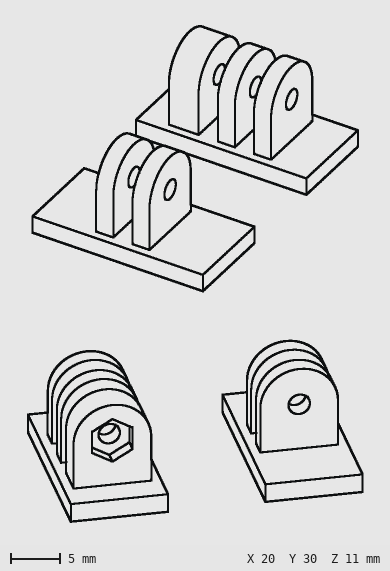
import cadquery as cq

overall_width = 30.0
base_width = overall_width / 3
base_length = 2 * base_width
base_thickness = base_width / 5
lug_thickness = base_thickness
lug_gap = 2.25
thick_lug_extra = 1.5
lug_radius = 0.4 * base_width
pivot_height = 0.7 * base_width
pivot_diameter = 2.2
nut_point_diameter = 4.8
nut_depth = 1.5

lug_pitch = lug_thickness + lug_gap
bracket_offset = base_width


def make_base(y_center):
    """Rectangular base plate standing on Z = 0."""
    return (
        cq.Workplane("XY")
        .center(0, y_center)
        .box(base_length, base_width, base_thickness, centered=(True, True, False))
    )


def make_lug(x_start, thickness, y_center):
    """Round-topped lug with a pivot hole, extending from x_start toward +X."""
    return (
        cq.Workplane("YZ", origin=(x_start, y_center, 0))
        .moveTo(-lug_radius, base_thickness)
        .lineTo(-lug_radius, pivot_height)
        .threePointArc((0, pivot_height + lug_radius), (lug_radius, pivot_height))
        .lineTo(lug_radius, base_thickness)
        .close()
        .extrude(thickness)
        .cut(
            cq.Workplane("YZ", origin=(x_start, y_center, pivot_height))
            .circle(pivot_diameter / 2)
            .extrude(thickness)
        )
    )


def make_nut_pocket(x_start, y_center):
    """Hexagonal nut pocket with corners at the top and bottom."""
    return (
        cq.Workplane("YZ", origin=(x_start, y_center, pivot_height))
        .transformed(rotate=(0, 0, 90))
        .polygon(6, nut_point_diameter)
        .extrude(nut_depth)
    )


def make_three_lug_bracket(y_center):
    """Bracket with a thick nut lug and two plain lugs, the middle one centred on the base."""
    bracket = make_base(y_center)
    middle_lug_start = -lug_thickness / 2
    for lug_start in (middle_lug_start, middle_lug_start + lug_pitch):
        bracket = bracket.union(make_lug(lug_start, lug_thickness, y_center))
    thick_lug_start = middle_lug_start - lug_pitch - thick_lug_extra
    thick_lug = make_lug(thick_lug_start, lug_thickness + thick_lug_extra, y_center)
    bracket = bracket.union(thick_lug)
    return bracket.cut(make_nut_pocket(thick_lug_start, y_center))


def make_two_lug_bracket(y_center):
    """Bracket whose two lugs line up with the gaps of the three-lug bracket."""
    bracket = make_base(y_center)
    for side in (-1, 1):
        lug_start = side * lug_pitch / 2 - lug_thickness / 2
        bracket = bracket.union(make_lug(lug_start, lug_thickness, y_center))
    return bracket


three_lug_bracket = make_three_lug_bracket(bracket_offset)
two_lug_bracket = make_two_lug_bracket(-bracket_offset)

result = cq.Compound.makeCompound([three_lug_bracket.val(), two_lug_bracket.val()])